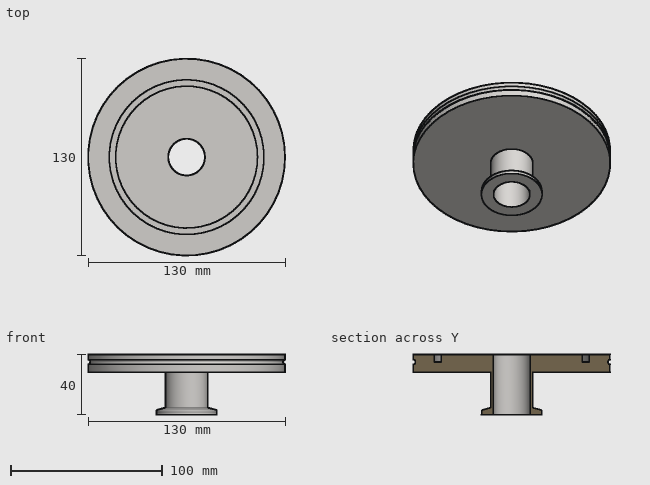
import cadquery as cq
import math

total_height = 40.0
disc_diameter = 130.0
disc_thickness = 12.0

tube_diameter = 28.0
bore_diameter = 24.0

clamp_diameter = 40.0
clamp_rim_height = 2.2
clamp_taper_angle = math.radians(15)
clamp_round_radius = 1.4
tube_root_fillet = 0.4

ring_outer_diameter = 102.0
ring_inner_diameter = 93.6
ring_depth = 5.0

edge_groove_depth = 1.3
edge_groove_width = 3.1
edge_groove_below_top = 5.1

disc_radius = disc_diameter / 2
tube_radius = tube_diameter / 2
bore_radius = bore_diameter / 2
clamp_radius = clamp_diameter / 2
disc_bottom = total_height - disc_thickness


def ring_block(inner_radius, outer_radius, bottom, height):
    """Concentric ring from its bottom height upward."""
    return (
        cq.Workplane("XY")
        .workplane(offset=bottom)
        .circle(outer_radius)
        .circle(inner_radius)
        .extrude(height)
    )


def make_clamp_neck():
    """Revolved tube and clamp flange; the rim round is tangent to rim and cone."""
    round_center_r = clamp_radius - clamp_round_radius

    def round_point(angle):
        return (
            round_center_r + clamp_round_radius * math.cos(angle),
            clamp_rim_height + clamp_round_radius * math.sin(angle),
        )

    cone_normal_angle = math.pi / 2 - clamp_taper_angle
    cone_r, cone_z = round_point(cone_normal_angle)
    cone_top = cone_z + (cone_r - tube_radius) * math.tan(clamp_taper_angle)

    tangent_length = tube_root_fillet * math.tan(cone_normal_angle / 2)
    fillet_r = tube_radius + tube_root_fillet
    fillet_z = cone_top + tangent_length
    cone_tangent = (
        tube_radius + tangent_length * math.cos(clamp_taper_angle),
        cone_top - tangent_length * math.sin(clamp_taper_angle),
    )
    fillet_middle = (
        fillet_r - tube_root_fillet * math.cos(cone_normal_angle / 2),
        fillet_z - tube_root_fillet * math.sin(cone_normal_angle / 2),
    )

    return (
        cq.Workplane("XZ")
        .moveTo(bore_radius, 0)
        .lineTo(clamp_radius, 0)
        .lineTo(clamp_radius, clamp_rim_height)
        .threePointArc(round_point(cone_normal_angle / 2), (cone_r, cone_z))
        .lineTo(*cone_tangent)
        .threePointArc(fillet_middle, (tube_radius, fillet_z))
        .lineTo(tube_radius, disc_bottom)
        .lineTo(bore_radius, disc_bottom)
        .close()
        .revolve(360, (0, 0), (0, 1))
    )


def make_edge_groove():
    """Revolved cutter with an arc-shaped section on the disc edge."""
    center_z = total_height - edge_groove_below_top
    half_width = edge_groove_width / 2
    return (
        cq.Workplane("XZ")
        .moveTo(disc_radius, center_z - half_width)
        .threePointArc(
            (disc_radius - edge_groove_depth, center_z),
            (disc_radius, center_z + half_width),
        )
        .close()
        .revolve(360, (0, 0), (0, 1))
    )


disc = ring_block(bore_radius, disc_radius, disc_bottom, disc_thickness)
ring_groove = ring_block(
    ring_inner_diameter / 2,
    ring_outer_diameter / 2,
    total_height - ring_depth,
    ring_depth,
)

result = disc.union(make_clamp_neck()).cut(ring_groove).cut(make_edge_groove())